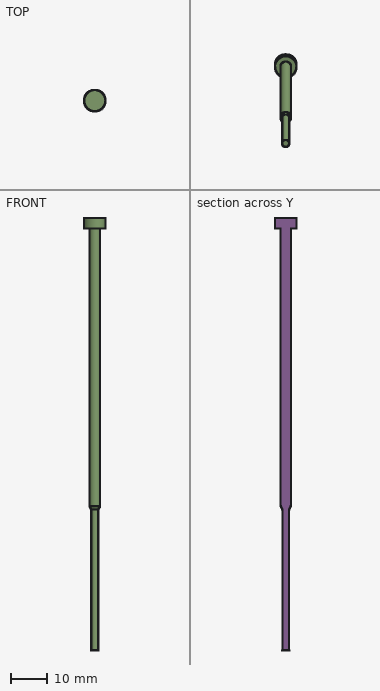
import cadquery as cq
import math

total_length = 120.0
head_diameter = 6.0
head_height = 3.0
shank_diameter = 3.0
stepped_length = 80.0
tip_diameter = 2.0
cone_half_angle = 30.0

head_radius = head_diameter / 2
shank_radius = shank_diameter / 2
tip_radius = tip_diameter / 2

head_bottom = total_length - head_height
shank_bottom = total_length - stepped_length

cone_height = (shank_radius - tip_radius) / math.tan(math.radians(cone_half_angle))
cone_bottom = shank_bottom - cone_height


def half_profile():
    """Half section of the pin on the -X side of its axis."""
    return (
        cq.Workplane("XZ")
        .moveTo(0, 0)
        .lineTo(-tip_radius, 0)
        .lineTo(-tip_radius, cone_bottom)
        .lineTo(-shank_radius, shank_bottom)
        .lineTo(-shank_radius, head_bottom)
        .lineTo(-head_radius, head_bottom)
        .lineTo(-head_radius, total_length)
        .lineTo(0, total_length)
        .close()
    )


result = half_profile().revolve(360, (0, 0, 0), (0, 1, 0))